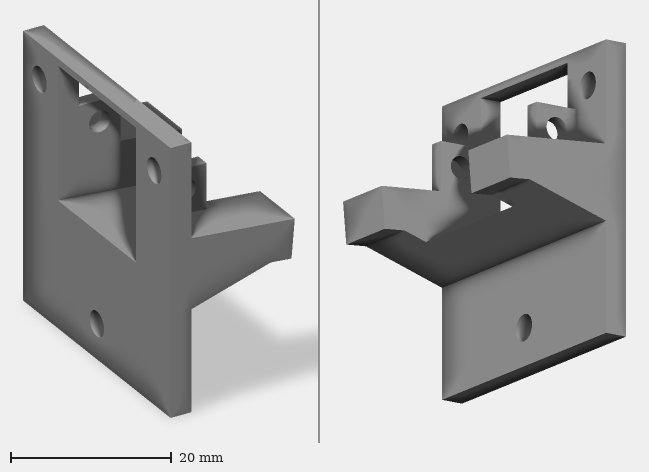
import cadquery as cq
import math

plate_width = 36.0
plate_height = 38.0
plate_thickness = 3.0

window_size = 19.0
window_top_margin = 1.0
window_top = plate_height - window_top_margin
window_bottom = window_top - window_size

mount_hole_diameter = 3.5
upper_hole_side_margin = 4.0
edge_hole_margin = 5.0

droop_angle = math.radians(5.0)
bracket_depth = 17.93
bracket_root_top = plate_height - 13.5
bracket_root_height = 10.0
tip_height = 5.5
tip_pad_length = 3.0

lug_length = 6.0
lug_thickness = 2.0
lug_top = plate_height - 7.5
lug_hole_diameter = 3.0
lug_hole_drop = 3.0


def side_profile(points):
    """Closed outline of (Y, Z) points in the YZ plane through X = 0."""
    return cq.Workplane("YZ").polyline(points).close()


def make_plate():
    """Flat rectangular plate."""
    return cq.Workplane("XY").box(
        plate_width, plate_thickness, plate_height, centered=(True, False, False)
    )


def make_bracket():
    """Full-width tapered bracket with a drooping top and a tip square to it."""
    root = plate_thickness
    tip_top_z = bracket_root_top - (bracket_depth - root) * math.tan(droop_angle)
    tip_bottom_y = bracket_depth - tip_height * math.sin(droop_angle)
    tip_bottom_z = tip_top_z - tip_height * math.cos(droop_angle)
    pad_end_y = tip_bottom_y - tip_pad_length * math.cos(droop_angle)
    pad_end_z = tip_bottom_z + tip_pad_length * math.sin(droop_angle)
    outline = [
        (root, bracket_root_top),
        (bracket_depth, tip_top_z),
        (tip_bottom_y, tip_bottom_z),
        (pad_end_y, pad_end_z),
        (root, bracket_root_top - bracket_root_height),
    ]
    return side_profile(outline).extrude(plate_width / 2, both=True)


def make_lug(side):
    """Pierced lug whose inner face is flush with the window; side is -1 or +1."""
    centre_x = side * (window_size + lug_thickness) / 2
    lug_bottom = bracket_root_top - bracket_root_height / 2
    lug = (
        cq.Workplane("XY")
        .box(lug_thickness, lug_length, lug_top - lug_bottom, centered=(True, False, False))
        .translate((centre_x, plate_thickness, lug_bottom))
    )
    hole = (
        cq.Workplane("YZ")
        .center(plate_thickness + lug_length / 2, lug_top - lug_hole_drop)
        .circle(lug_hole_diameter / 2)
        .extrude(lug_thickness / 2, both=True)
        .translate((centre_x, 0, 0))
    )
    return lug.cut(hole)


def make_window():
    """Opening through plate and bracket, its floor parallel to the bracket top."""
    outline = [
        (0, window_top),
        (bracket_depth, window_top),
        (bracket_depth, window_bottom - bracket_depth * math.tan(droop_angle)),
        (0, window_bottom),
    ]
    return side_profile(outline).extrude(window_size / 2, both=True)


def make_mount_holes():
    """Two upper corner holes and one hole at the bottom centre."""
    upper_x = plate_width / 2 - upper_hole_side_margin
    upper_z = plate_height - edge_hole_margin
    return (
        cq.Workplane("XZ")
        .pushPoints([(-upper_x, upper_z), (upper_x, upper_z), (0, edge_hole_margin)])
        .circle(mount_hole_diameter / 2)
        .extrude(-plate_thickness)
    )


result = make_plate().union(make_bracket())
result = result.cut(make_window()).cut(make_mount_holes())
for lug_side in (-1, 1):
    result = result.union(make_lug(lug_side))